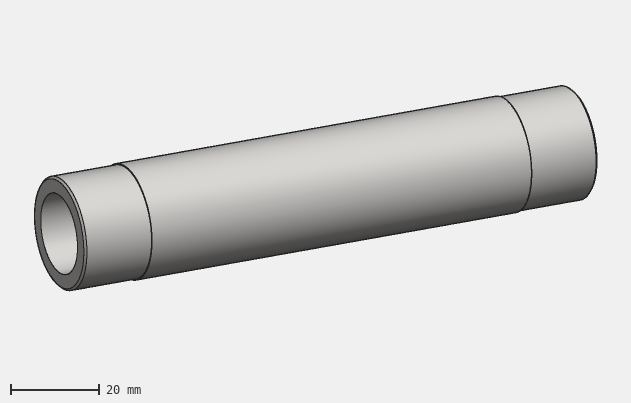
import cadquery as cq

length = 130.0
body_diameter = 26.9
end_diameter = 26.4
bore_diameter = 18.8
end_length = 16.9
end_chamfer = 0.5


def cylinder_along_y(diameter, cylinder_length):
    """Cylinder on the Y axis, centred on the origin."""
    start_plane = cq.Workplane("XZ", origin=(0, cylinder_length / 2, 0))
    return start_plane.circle(diameter / 2).extrude(cylinder_length)


core = cylinder_along_y(end_diameter, length).faces("<Y or >Y").chamfer(end_chamfer)

body = cylinder_along_y(body_diameter, length - 2 * end_length)

bore = cylinder_along_y(bore_diameter, length)

result = core.union(body).cut(bore)